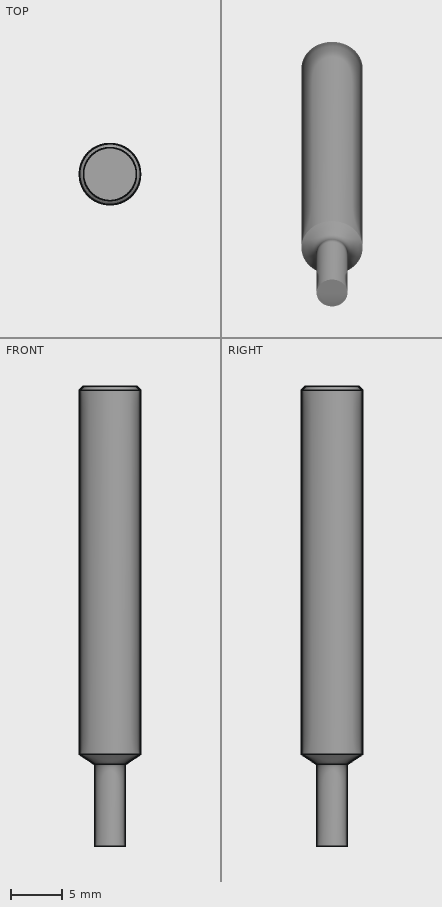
import cadquery as cq

TOTAL_LENGTH = 45.0
SHANK_DIAMETER = 6.0
TIP_DIAMETER = 3.0
TIP_LENGTH = 8.0
TAPER_HEIGHT = 1.0
END_CHAMFER = 0.4


def make_tip():
    """Plain cylindrical tip standing on the XY plane."""
    return cq.Workplane("XY").circle(TIP_DIAMETER / 2).extrude(TIP_LENGTH)


def make_shank():
    """Revolved shank with a tapered lower end and a chamfered upper end."""
    shank_radius = SHANK_DIAMETER / 2
    profile = (
        cq.Workplane("XZ")
        .moveTo(0, TIP_LENGTH)
        .lineTo(TIP_DIAMETER / 2, TIP_LENGTH)
        .lineTo(shank_radius, TIP_LENGTH + TAPER_HEIGHT)
        .lineTo(shank_radius, TOTAL_LENGTH - END_CHAMFER)
        .lineTo(shank_radius - END_CHAMFER, TOTAL_LENGTH)
        .lineTo(0, TOTAL_LENGTH)
        .close()
    )
    return profile.revolve(360, (0, 0), (0, 1))


tip = make_tip()
shank = make_shank()
result = cq.Compound.makeCompound([shank.val(), tip.val()])